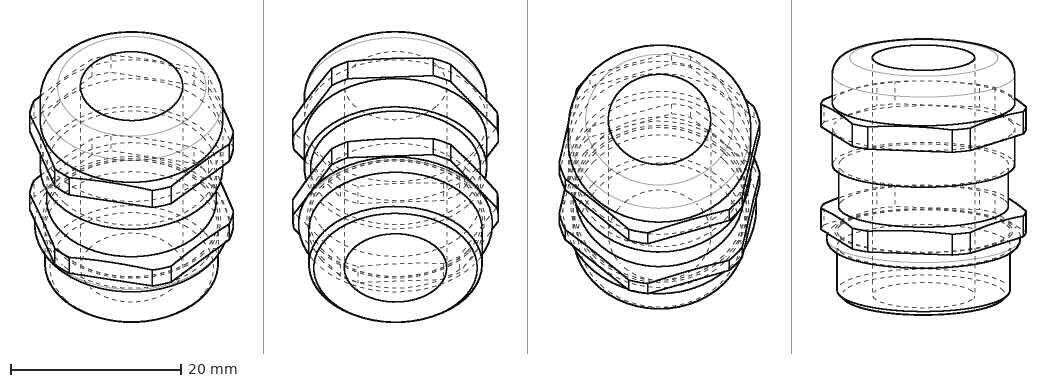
import cadquery as cq
import math

total_height = 28.8
bore_radius = 6.02

spigot_radius = 10.2
spigot_chamfer = 0.58
ring_radius = 11.4
ring_bottom = 5.93
ring_top = 7.8

neck_radius = 10.0
cap_radius = 10.75
cap_bottom = 15.8
cap_fillet = 2.02

hex_across_flats = 22.0
hex_corner_diameter = 24.2
hex_bevel_angle = 12.0
lower_hex_top = 10.77
upper_hex_bottom = 20.28
upper_hex_top = 23.27


def cylinder(radius, bottom, top):
    return cq.Workplane("XY").workplane(offset=bottom).circle(radius).extrude(top - bottom)


def hex_collar(bottom, top, bevel_start_radius):
    """Hexagon with rounded corners and a conical bevel on its upper face."""
    height = top - bottom
    corner_radius = hex_corner_diameter / 2
    across_corners = hex_across_flats / math.cos(math.radians(30))
    bevel_drop = (corner_radius - bevel_start_radius) * math.tan(math.radians(hex_bevel_angle))
    prism = cq.Workplane("XY").workplane(offset=bottom).polygon(6, across_corners).extrude(height)
    envelope = (
        cq.Workplane("XZ")
        .moveTo(0, bottom)
        .lineTo(corner_radius, bottom)
        .lineTo(corner_radius, top - bevel_drop)
        .lineTo(bevel_start_radius, top)
        .lineTo(0, top)
        .close()
        .revolve(360, (0, 0, 0), (0, 1, 0))
    )
    return prism.intersect(envelope)


def sealing_ring():
    """O-ring of round section, sitting against the lower hexagon."""
    section_radius = (ring_top - ring_bottom) / 2
    return (
        cq.Workplane("XZ")
        .center(ring_radius - section_radius, ring_bottom + section_radius)
        .circle(section_radius)
        .revolve(360, (section_radius - ring_radius, 0, 0), (section_radius - ring_radius, 1, 0))
    )


spigot = cylinder(spigot_radius, 0, ring_top).faces("<Z").edges().chamfer(spigot_chamfer)
neck = cylinder(neck_radius, ring_top, cap_bottom)
cap = cylinder(cap_radius, cap_bottom, total_height).faces(">Z").edges().fillet(cap_fillet)

result = (
    spigot
    .union(neck)
    .union(cap)
    .union(sealing_ring())
    .union(hex_collar(ring_top, lower_hex_top, neck_radius))
    .union(hex_collar(upper_hex_bottom, upper_hex_top, cap_radius))
    .cut(cylinder(bore_radius, 0, total_height))
)